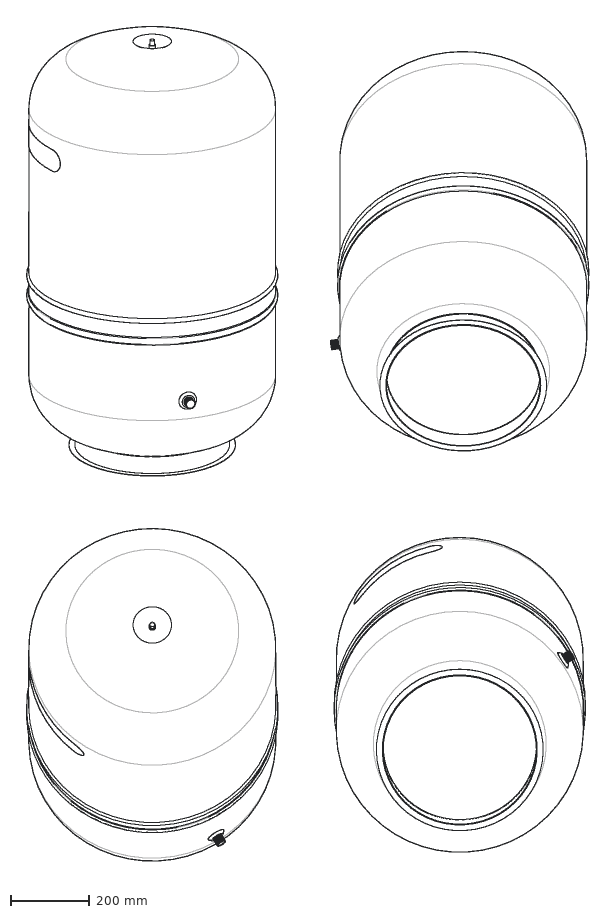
import cadquery as cq
import math

tank_radius = 315.0
lower_seam_z = 194.0
upper_seam_z = 925.0
knuckle_radius = 145.0
crown_edge_radius = 220.0
crown_sphere_radius = 501.0

upper_bead_z = 468.0
upper_bead_height = 13.0
upper_bead_depth = 6.0
lower_bead_z = 412.0
lower_bead_height = 18.0
lower_bead_depth = 6.0
bead_root_radius = 3.0

plate_length = 269.0
plate_height = 59.0
plate_z = 857.0
plate_face_radius = 631.0 / 2

connector_z = 244.0
connector_end_x = 342.0
connector_radius = 12.0
thread_depth = 1.0
thread_pitch = 2.0
thread_count = 8
weld_radius = 23.0
weld_tip_radius = 17.0
weld_height = 7.0

dimple_radius = 49.0
dimple_depth = 18.0
valve_body_radius = 17.0 / 2
valve_tip_radius = 12.0 / 2
valve_top_z = 1113.0
valve_tip_height = 13.0
valve_socket_depth = 6.0

stand_outer_radius = 395.0 / 2
stand_inner_radius = 391.0 / 2
flange_radius = 425.0 / 2
flange_thickness = 1.0

knuckle_center_radius = tank_radius - knuckle_radius
knuckle_rise = math.sqrt(knuckle_radius**2 - (crown_edge_radius - knuckle_center_radius) ** 2)
knuckle_mid_angle = math.asin(knuckle_rise / knuckle_radius) / 2
knuckle_mid_radius = knuckle_center_radius + knuckle_radius * math.cos(knuckle_mid_angle)
knuckle_mid_rise = knuckle_radius * math.sin(knuckle_mid_angle)


def sphere_rise(radius):
    """Height of the crown sphere above its centre at a distance from the axis."""
    return math.sqrt(crown_sphere_radius**2 - radius**2)


def crown_rise(radius):
    """Height of a crown above the nearest cylinder seam at a distance from the axis."""
    return knuckle_rise + sphere_rise(radius) - sphere_rise(crown_edge_radius)


crown_mid_radius = crown_edge_radius / 2
dimple_floor_z = upper_seam_z + crown_rise(dimple_radius) - dimple_depth


def make_dished_cylinder():
    """Solid of revolution: lower dished end, cylinder and upper dished end."""
    profile = (
        cq.Workplane("XZ")
        .moveTo(0, lower_seam_z - crown_rise(0))
        .threePointArc(
            (crown_mid_radius, lower_seam_z - crown_rise(crown_mid_radius)),
            (crown_edge_radius, lower_seam_z - knuckle_rise),
        )
        .threePointArc(
            (knuckle_mid_radius, lower_seam_z - knuckle_mid_rise), (tank_radius, lower_seam_z)
        )
        .lineTo(tank_radius, upper_seam_z)
        .threePointArc(
            (knuckle_mid_radius, upper_seam_z + knuckle_mid_rise),
            (crown_edge_radius, upper_seam_z + knuckle_rise),
        )
        .threePointArc(
            (crown_mid_radius, upper_seam_z + crown_rise(crown_mid_radius)),
            (0, upper_seam_z + crown_rise(0)),
        )
        .close()
    )
    return profile.revolve(360, (0, 0, 0), (0, 1, 0))


def make_bead(center_z, height, depth):
    """Ring with a round outer face, rooted inside the tank wall."""
    root_radius = tank_radius - depth
    return (
        cq.Workplane("XZ")
        .moveTo(root_radius, center_z - height / 2)
        .lineTo(tank_radius, center_z - height / 2)
        .threePointArc((tank_radius + depth, center_z), (tank_radius, center_z + height / 2))
        .lineTo(root_radius, center_z + height / 2)
        .close()
        .revolve(360, (0, 0, 0), (0, 1, 0))
    )


def fillet_bead_roots(tank, center_z, height):
    """Concave fillets along both edges where a bead leaves the cylinder."""
    tolerance = 1.0
    reach = tank_radius + tolerance
    for edge_z in (center_z - height / 2, center_z + height / 2):
        edge_box = cq.selectors.BoxSelector(
            (-reach, -reach, edge_z - tolerance),
            (reach, reach, edge_z + tolerance),
            boundingbox=True,
        )
        tank = tank.edges(edge_box).fillet(bead_root_radius)
    return tank


def make_name_plate():
    """Rounded-end plate, slightly proud of the cylinder on the -Y side."""
    outline = (
        cq.Workplane("XZ")
        .center(0, plate_z)
        .slot2D(plate_length, plate_height)
        .extrude(plate_face_radius)
    )
    return outline.intersect(
        cq.Workplane("XY", origin=(0, 0, plate_z - plate_height))
        .circle(plate_face_radius)
        .extrude(2 * plate_height)
    )


def make_connector():
    """Threaded nipple on the +X side, standing on a conical weld collar."""
    root_x = tank_radius - weld_height
    weld_end_x = tank_radius + weld_height
    profile = (
        cq.Workplane("XZ")
        .moveTo(root_x, connector_z)
        .lineTo(root_x, connector_z + weld_radius)
        .lineTo(tank_radius, connector_z + weld_radius)
        .lineTo(weld_end_x, connector_z + weld_tip_radius)
        .lineTo(weld_end_x, connector_z + connector_radius)
    )
    for turn in range(thread_count):
        groove_x = connector_end_x - (thread_count - turn) * thread_pitch
        profile = profile.lineTo(groove_x, connector_z + connector_radius).lineTo(
            groove_x + thread_pitch / 2, connector_z + connector_radius - thread_depth
        )
    profile = (
        profile.lineTo(connector_end_x, connector_z + connector_radius)
        .lineTo(connector_end_x, connector_z)
        .close()
    )
    return profile.revolve(360, (0, connector_z, 0), (1, connector_z, 0))


def make_dimple():
    """Spherical cutter for the dimple at the top of the tank."""
    sphere_radius = (dimple_radius**2 + dimple_depth**2) / (2 * dimple_depth)
    return cq.Workplane("XY").sphere(sphere_radius).translate((0, 0, dimple_floor_z + sphere_radius))


def make_valve():
    """Air valve: a round body with a thinner tip, seated in a socket under the dimple."""
    socket_z = dimple_floor_z - valve_socket_depth
    tip_z = valve_top_z - valve_tip_height
    return (
        cq.Workplane("XY", origin=(0, 0, socket_z))
        .circle(valve_body_radius)
        .extrude(tip_z - socket_z)
        .faces(">Z")
        .workplane()
        .circle(valve_tip_radius)
        .extrude(valve_tip_height)
    )


def make_stand(tank):
    """Thin ring with a flat foot flange, its top edge trimmed to the lower crown."""
    flange = cq.Workplane("XY").circle(flange_radius).extrude(flange_thickness)
    wall = cq.Workplane("XY").circle(stand_outer_radius).extrude(lower_seam_z - knuckle_rise)
    bore = cq.Workplane("XY").circle(stand_inner_radius).extrude(lower_seam_z)
    return flange.union(wall).cut(bore).cut(tank)


def make_tank(valve):
    """Dished tank with its beads, plate, connector, dimple and valve socket."""
    tank = make_dished_cylinder()
    tank = tank.union(make_bead(upper_bead_z, upper_bead_height, upper_bead_depth))
    tank = tank.union(make_bead(lower_bead_z, lower_bead_height, lower_bead_depth))
    tank = fillet_bead_roots(tank, lower_bead_z, lower_bead_height)
    tank = tank.union(make_name_plate()).union(make_connector())
    return tank.cut(make_dimple()).cut(valve)


valve = make_valve()
tank = make_tank(valve)
stand = make_stand(tank)

result = cq.Compound.makeCompound([tank.val(), stand.val(), valve.val()])